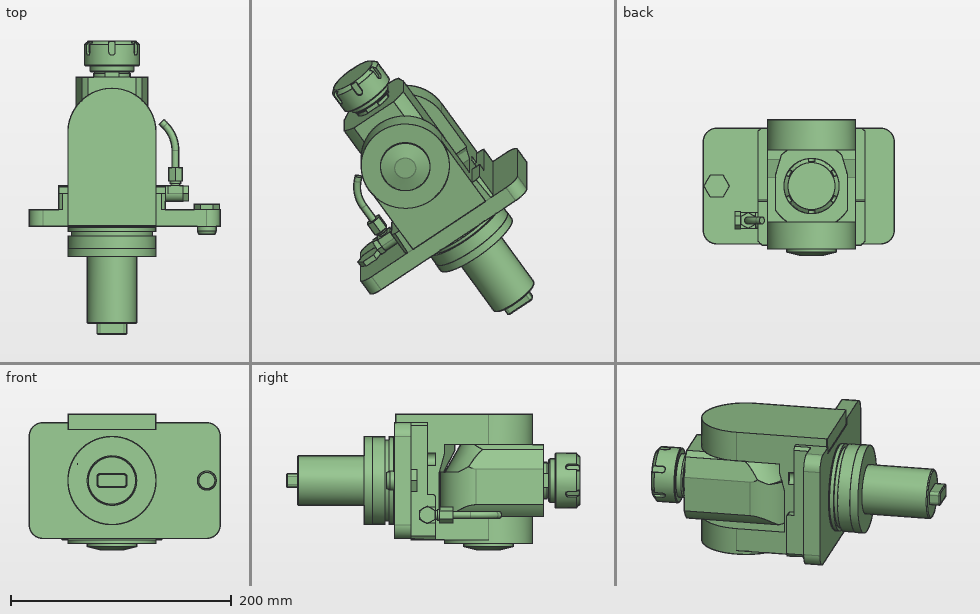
import cadquery as cq
import math


PLATE_LEFT = -75.0
PLATE_WIDTH = 173.0
PLATE_HEIGHT = 105.0
PLATE_THICK = 15.2
PLATE_CORNER = 12.5

RELIEF_DIA = 78.0
RELIEF_END = -1.0
FLANGE_COLLAR_DIA = 79.5
FLANGE_COLLAR_END = -4.8
GROOVE_DIA = 73.7
GROOVE_END = -8.5
FLANGE_DIA = 80.0
FLANGE_STEP = -20.0
FLANGE_END = -27.5
SHANK_DIA = 45.0
SHANK_END = -88.0
SHANK_CHAMFER = 1.0
TANG_WIDTH = 27.0
TANG_HEIGHT = 12.5
TANG_END = -97.9
TANG_CORNER = 2.7
TANG_CHAMFER = 0.93

PIVOT_Y = 85.0
ARM_RADIUS = FLANGE_DIA / 2
FORK_TOP = 60.0
CAP_BOTTOM = 46.3
CAP_FRONT = 0.8
CAP_CORNER_CHAMFER = 0.8
LOWER_ARM_BOTTOM = -53.7
DISC_BOTTOM = -57.2
COVER_DIA = 45.0
COVER_BOTTOM = -59.8
DOME_FLAT_DIA = 19.1
DOME_BOTTOM = -63.0

HOUSING_HALF_WIDTH = 48.5
HOUSING_BACK = 30.0
SHELF_BACK = 37.0
SHELF_TOP = -12.8
SHELF_EDGE_CHAMFER = 1.3
HOUSING_TOP_CHAMFER_X = 3.5
HOUSING_TOP_CHAMFER_Z = 2.7
HOUSING_BOTTOM_CHAMFER = 3.7
RECESS_DIA = 11.2
RECESS_Z = 19.5

NOSE_BACK = 40.7
NOSE_UPPER_BACK = 45.2
NOSE_SLOPE_TOP = 24.2
RIDGE_BASE_Y = 44.7
RIDGE_BACK = 54.8
RIDGE_SLOPE_TOP = 27.5

HEAD_WIDTH = 65.1
HEAD_HALF = HEAD_WIDTH / 2
HEAD_FRONT = 135.0
HEAD_ROUND_Y = 74.0
HEAD_CORNER_DIA = 78.5
TAPER_TOP_X = 27.5
TAPER_TOP_Z = 28.0
TAPER_LOW_Z = 10.5
CONE_LOW_Z = 7.7
CONE_LOW_RADIUS = 39.4
CONE_TOP_RADIUS = 25.3

NECK_DIA = 35.5
NECK_SHOULDER = 138.3
NECK_RELIEF_DIA = 34.0
NECK_END = 139.5
FLAT_WIDTH = 12.5
FLAT_RADIUS = 15.7
COLLAR_DIA = 40.0
COLLAR_EDGE = 1.3
NUT_BACK = 145.5
NUT_DIA = 50.0
NUT_FRONT = 168.0
NUT_BACK_CHAMFER = 0.8
NUT_TAPER = 3.5
NUT_FACE_DIA = 42.5
NUT_SLOT_COUNT = 6
NUT_SLOT_WIDTH = 5.9
NUT_SLOT_END = 155.0
NUT_SLOT_FLOOR = 22.0

BOLT_X = 86.0
BOLT_HEAD_ACROSS = 23.1
BOLT_HEAD_TOP = 20.2
BOLT_DIA = 17.3
BOLT_SHOULDER_END = -4.0
BOLT_TIP_DIA = 14.5
BOLT_END = -7.2

FITTING_Z = -31.0
FITTING_PIVOT_Y = 29.8
FITTING_RADIUS = 7.2
FITTING_BODY_X = 50.5
FITTING_END_X = 64.4
PLUG_END_X = 69.5
PLUG_FLATS = 13.8
PIPE_X = 57.5
PIPE_DIA = 6.5
STEM_DIA = 8.2
STEM_COLLAR_DIA = 9.8
STEM_COLLAR_Y = 38.8
PIPE_NUT_BACK = 41.0
PIPE_NUT_FRONT = 53.2
PIPE_NUT_FLATS = 12.5
BEND_START_Y = 69.0
BEND_RADIUS = 32.0
BEND_ANGLE = 45
PIPE_TIP_LENGTH = 4.5

HEX_HALF_STEP = 30
HEX_FLAT_RATIO = math.cos(math.radians(HEX_HALF_STEP))


def box(x0, x1, y0, y1, z0, z1):
    return cq.Workplane("XY").box(x1 - x0, y1 - y0, z1 - z0, centered=False).translate((x0, y0, z0))


def turned(radius_y_points):
    """Solid of revolution about the Y axis from (radius, y) points, closed along the axis."""
    first_y = radius_y_points[0][1]
    last_y = radius_y_points[-1][1]
    outline = [(0, first_y)] + radius_y_points + [(0, last_y)]
    return cq.Workplane("XY").polyline(outline).close().revolve(360, (0, 0, 0), (0, 1, 0))


def rod(x, z, diameter, y0, y1):
    return cq.Workplane("XZ", origin=(x, y0, z)).circle(diameter / 2).extrude(y0 - y1)


def round_ended(radius, center_y, back_y, z0, z1):
    """Upright slab with a straight back at back_y and a half-round end toward +Y."""
    return (
        cq.Workplane("XY", origin=(0, 0, z0))
        .moveTo(-radius, back_y)
        .lineTo(-radius, center_y)
        .threePointArc((0, center_y + radius), (radius, center_y))
        .lineTo(radius, back_y)
        .close()
        .extrude(z1 - z0)
    )


def plate():
    half_height = PLATE_HEIGHT / 2
    slab = box(PLATE_LEFT, PLATE_LEFT + PLATE_WIDTH, 0, PLATE_THICK, -half_height, half_height)
    return slab.edges("|Y").fillet(PLATE_CORNER)


def shank_and_tang():
    shank_radius = SHANK_DIA / 2
    body = turned([
        (RELIEF_DIA / 2, 0),
        (RELIEF_DIA / 2, RELIEF_END),
        (FLANGE_COLLAR_DIA / 2, RELIEF_END),
        (FLANGE_COLLAR_DIA / 2, FLANGE_COLLAR_END),
        (GROOVE_DIA / 2, FLANGE_COLLAR_END),
        (GROOVE_DIA / 2, GROOVE_END),
        (FLANGE_COLLAR_DIA / 2, GROOVE_END),
        (FLANGE_COLLAR_DIA / 2, FLANGE_STEP),
        (FLANGE_DIA / 2, FLANGE_STEP),
        (FLANGE_DIA / 2, FLANGE_END),
        (shank_radius, FLANGE_END),
        (shank_radius, SHANK_END + SHANK_CHAMFER),
        (shank_radius - SHANK_CHAMFER, SHANK_END),
    ])
    tang = box(-TANG_WIDTH / 2, TANG_WIDTH / 2, TANG_END, SHANK_END, -TANG_HEIGHT / 2, TANG_HEIGHT / 2)
    tang = tang.edges("|Y").fillet(TANG_CORNER).faces("<Y").chamfer(TANG_CHAMFER)
    return body.union(tang)


def housing():
    half_height = PLATE_HEIGHT / 2
    outline = [
        (-HOUSING_HALF_WIDTH + HOUSING_BOTTOM_CHAMFER, LOWER_ARM_BOTTOM),
        (HOUSING_HALF_WIDTH - HOUSING_BOTTOM_CHAMFER, LOWER_ARM_BOTTOM),
        (HOUSING_HALF_WIDTH, LOWER_ARM_BOTTOM + HOUSING_BOTTOM_CHAMFER),
        (HOUSING_HALF_WIDTH, half_height - HOUSING_TOP_CHAMFER_Z),
        (HOUSING_HALF_WIDTH - HOUSING_TOP_CHAMFER_X, half_height),
        (-HOUSING_HALF_WIDTH + HOUSING_TOP_CHAMFER_X, half_height),
        (-HOUSING_HALF_WIDTH, half_height - HOUSING_TOP_CHAMFER_Z),
        (-HOUSING_HALF_WIDTH, LOWER_ARM_BOTTOM + HOUSING_BOTTOM_CHAMFER),
    ]
    block = cq.Workplane("XZ", origin=(0, PLATE_THICK, 0)).polyline(outline).close()
    block = block.extrude(PLATE_THICK - SHELF_BACK)
    side_profile = [
        (PLATE_THICK, -half_height),
        (SHELF_BACK, LOWER_ARM_BOTTOM),
        (SHELF_BACK, SHELF_TOP - SHELF_EDGE_CHAMFER),
        (SHELF_BACK - SHELF_EDGE_CHAMFER, SHELF_TOP),
        (HOUSING_BACK, SHELF_TOP),
        (HOUSING_BACK, half_height),
        (PLATE_THICK, half_height),
    ]
    keep = cq.Workplane("YZ").polyline(side_profile).close().extrude(HOUSING_HALF_WIDTH, both=True)
    return block.intersect(keep)


def web():
    """Wall joining the arms behind the head, with a recess in each side and a sloped nose."""
    body = box(-ARM_RADIUS, ARM_RADIUS, PLATE_THICK, SHELF_BACK, -HEAD_HALF, HEAD_HALF)
    for side in (-1, 1):
        body = body.cut(rod(side * ARM_RADIUS, RECESS_Z, RECESS_DIA, HOUSING_BACK, SHELF_BACK))
    nose_profile = [
        (SHELF_BACK, -HEAD_HALF),
        (NOSE_BACK, -HEAD_HALF),
        (NOSE_BACK, CONE_LOW_Z),
        (NOSE_UPPER_BACK, NOSE_SLOPE_TOP),
        (NOSE_UPPER_BACK, HEAD_HALF),
        (SHELF_BACK, HEAD_HALF),
    ]
    nose = cq.Workplane("YZ").polyline(nose_profile).close().extrude(ARM_RADIUS, both=True)
    ridge_plan = [(-ARM_RADIUS, SHELF_BACK), (0, RIDGE_BACK), (ARM_RADIUS, SHELF_BACK)]
    ridge = cq.Workplane("XY", origin=(0, 0, CONE_LOW_Z)).polyline(ridge_plan).close()
    ridge = ridge.extrude(HEAD_HALF - CONE_LOW_Z)
    ridge_profile = [
        (SHELF_BACK, CONE_LOW_Z),
        (RIDGE_BASE_Y, CONE_LOW_Z),
        (RIDGE_BACK, RIDGE_SLOPE_TOP),
        (RIDGE_BACK, HEAD_HALF),
        (SHELF_BACK, HEAD_HALF),
    ]
    ridge_slope = cq.Workplane("YZ").polyline(ridge_profile).close().extrude(ARM_RADIUS, both=True)
    return body.union(nose).union(ridge.intersect(ridge_slope))


def fork():
    upper = round_ended(ARM_RADIUS, PIVOT_Y, PLATE_THICK, HEAD_HALF, CAP_BOTTOM)
    cap = round_ended(ARM_RADIUS, PIVOT_Y, CAP_FRONT, CAP_BOTTOM, FORK_TOP)
    cap = cap.edges("|Z and <Y").chamfer(CAP_CORNER_CHAMFER)
    lower = box(-ARM_RADIUS, ARM_RADIUS, PLATE_THICK, PIVOT_Y, LOWER_ARM_BOTTOM, -HEAD_HALF)
    disc = (
        cq.Workplane("XY", origin=(0, PIVOT_Y, DISC_BOTTOM))
        .circle(ARM_RADIUS)
        .extrude(-HEAD_HALF - DISC_BOTTOM)
    )
    cover = (
        cq.Workplane("XZ")
        .polyline([
            (0, DISC_BOTTOM),
            (COVER_DIA / 2, DISC_BOTTOM),
            (COVER_DIA / 2, COVER_BOTTOM),
            (DOME_FLAT_DIA / 2, DOME_BOTTOM),
            (0, DOME_BOTTOM),
        ])
        .close()
        .revolve(360, (0, 0, 0), (0, 1, 0))
        .translate((0, PIVOT_Y, 0))
    )
    return upper.union(cap).union(lower).union(disc).union(cover).union(web())


def head():
    body = round_ended(HEAD_HALF, -HEAD_ROUND_Y, -HEAD_FRONT, -HEAD_HALF, HEAD_HALF).mirror("XZ")
    body = body.intersect(rod(0, 0, HEAD_CORNER_DIA, 0, HEAD_FRONT))
    slope = (HEAD_HALF - TAPER_TOP_X) / (TAPER_TOP_Z - TAPER_LOW_Z)
    top_x = HEAD_HALF - slope * (HEAD_HALF - TAPER_LOW_Z)
    for side in (-1, 1):
        wedge = cq.Workplane("XZ").polyline([
            (side * HEAD_HALF, TAPER_LOW_Z),
            (side * top_x, HEAD_HALF),
            (side * HEAD_HALF, HEAD_HALF),
        ]).close().extrude(-HEAD_FRONT)
        body = body.cut(wedge)
    relief = box(-HEAD_HALF, HEAD_HALF, 0, PIVOT_Y, CONE_LOW_Z, HEAD_HALF)
    cone = cq.Workplane(cq.Solid.makeCone(
        CONE_LOW_RADIUS, CONE_TOP_RADIUS, HEAD_HALF - CONE_LOW_Z,
        cq.Vector(0, PIVOT_Y, CONE_LOW_Z), cq.Vector(0, 0, 1),
    ))
    return body.cut(relief.cut(cone))


def spindle_neck():
    neck = rod(0, 0, NECK_DIA, HEAD_FRONT, NECK_SHOULDER)
    neck = neck.union(rod(0, 0, NECK_RELIEF_DIA, NECK_SHOULDER, NECK_END))
    for quarter in range(4):
        flat = box(-FLAT_WIDTH / 2, FLAT_WIDTH / 2, HEAD_FRONT, NECK_END, FLAT_RADIUS, NECK_DIA)
        neck = neck.cut(flat.rotate((0, 0, 0), (0, 1, 0), 90 * quarter))
    return neck


def collet_nut():
    nut_radius = NUT_DIA / 2
    collar_radius = COLLAR_DIA / 2
    nut = turned([
        (collar_radius - COLLAR_EDGE, NECK_END),
        (collar_radius, NECK_END + COLLAR_EDGE),
        (collar_radius, NUT_BACK),
        (nut_radius - NUT_BACK_CHAMFER, NUT_BACK),
        (nut_radius, NUT_BACK + NUT_BACK_CHAMFER),
        (nut_radius, NUT_FRONT - NUT_TAPER),
        (NUT_FACE_DIA / 2, NUT_FRONT),
    ])
    half_width = NUT_SLOT_WIDTH / 2
    slot = (
        cq.Workplane("XY", origin=(0, 0, NUT_SLOT_FLOOR))
        .moveTo(-half_width, NUT_FRONT)
        .lineTo(-half_width, NUT_SLOT_END + half_width)
        .threePointArc((0, NUT_SLOT_END), (half_width, NUT_SLOT_END + half_width))
        .lineTo(half_width, NUT_FRONT)
        .close()
        .extrude(nut_radius)
    )
    for index in range(NUT_SLOT_COUNT):
        nut = nut.cut(slot.rotate((0, 0, 0), (0, 1, 0), index * 360 / NUT_SLOT_COUNT))
    return nut


def bolt():
    head_prism = cq.Workplane("XZ", origin=(BOLT_X, PLATE_THICK, 0)).polygon(6, BOLT_HEAD_ACROSS)
    head_prism = head_prism.extrude(PLATE_THICK - BOLT_HEAD_TOP)
    tip = turned([
        (BOLT_DIA / 2, PLATE_THICK),
        (BOLT_DIA / 2, BOLT_SHOULDER_END),
        (BOLT_TIP_DIA / 2, BOLT_END),
    ]).translate((BOLT_X, 0, 0))
    return head_prism.union(tip)


def coolant_fitting():
    low_z = FITTING_Z - FITTING_RADIUS
    high_z = FITTING_Z + FITTING_RADIUS
    barrel = cq.Workplane("YZ", origin=(HOUSING_HALF_WIDTH, FITTING_PIVOT_Y, FITTING_Z))
    barrel = barrel.circle(FITTING_RADIUS).extrude(FITTING_END_X - HOUSING_HALF_WIDTH)
    block = box(FITTING_BODY_X, FITTING_END_X, FITTING_PIVOT_Y, SHELF_BACK, low_z, high_z)
    plug = (
        cq.Workplane("YZ", origin=(FITTING_END_X, FITTING_PIVOT_Y, FITTING_Z))
        .transformed(rotate=(0, 0, HEX_HALF_STEP))
        .polygon(6, PLUG_FLATS / HEX_FLAT_RATIO)
        .extrude(PLUG_END_X - FITTING_END_X)
    )
    stem = rod(PIPE_X, FITTING_Z, STEM_DIA, SHELF_BACK, PIPE_NUT_BACK)
    stem_collar = rod(PIPE_X, FITTING_Z, STEM_COLLAR_DIA, STEM_COLLAR_Y, PIPE_NUT_BACK)
    nut = (
        cq.Workplane("XZ", origin=(PIPE_X, PIPE_NUT_BACK, FITTING_Z))
        .transformed(rotate=(0, 0, HEX_HALF_STEP))
        .polygon(6, PIPE_NUT_FLATS / HEX_FLAT_RATIO)
        .extrude(PIPE_NUT_BACK - PIPE_NUT_FRONT)
    )
    angle = math.radians(BEND_ANGLE)
    bend_x = PIPE_X - BEND_RADIUS
    mid_point, end_point = (
        (bend_x + BEND_RADIUS * math.cos(turn), BEND_START_Y + BEND_RADIUS * math.sin(turn))
        for turn in (angle / 2, angle)
    )
    tip_point = (
        end_point[0] - PIPE_TIP_LENGTH * math.sin(angle),
        end_point[1] + PIPE_TIP_LENGTH * math.cos(angle),
    )
    path = (
        cq.Workplane("XY", origin=(0, 0, FITTING_Z))
        .moveTo(PIPE_X, PIPE_NUT_FRONT)
        .lineTo(PIPE_X, BEND_START_Y)
        .threePointArc(mid_point, end_point)
        .lineTo(*tip_point)
    )
    pipe = cq.Workplane("XZ", origin=(PIPE_X, PIPE_NUT_FRONT, FITTING_Z)).circle(PIPE_DIA / 2).sweep(path)
    return barrel.union(block).union(plug).union(stem).union(stem_collar).union(nut).union(pipe)


cap_notch = box(-ARM_RADIUS, ARM_RADIUS, 0, PLATE_THICK, CAP_BOTTOM, FORK_TOP)
result = plate().cut(cap_notch)
for feature in (shank_and_tang, housing, fork, head, spindle_neck, collet_nut, bolt, coolant_fitting):
    result = result.union(feature())